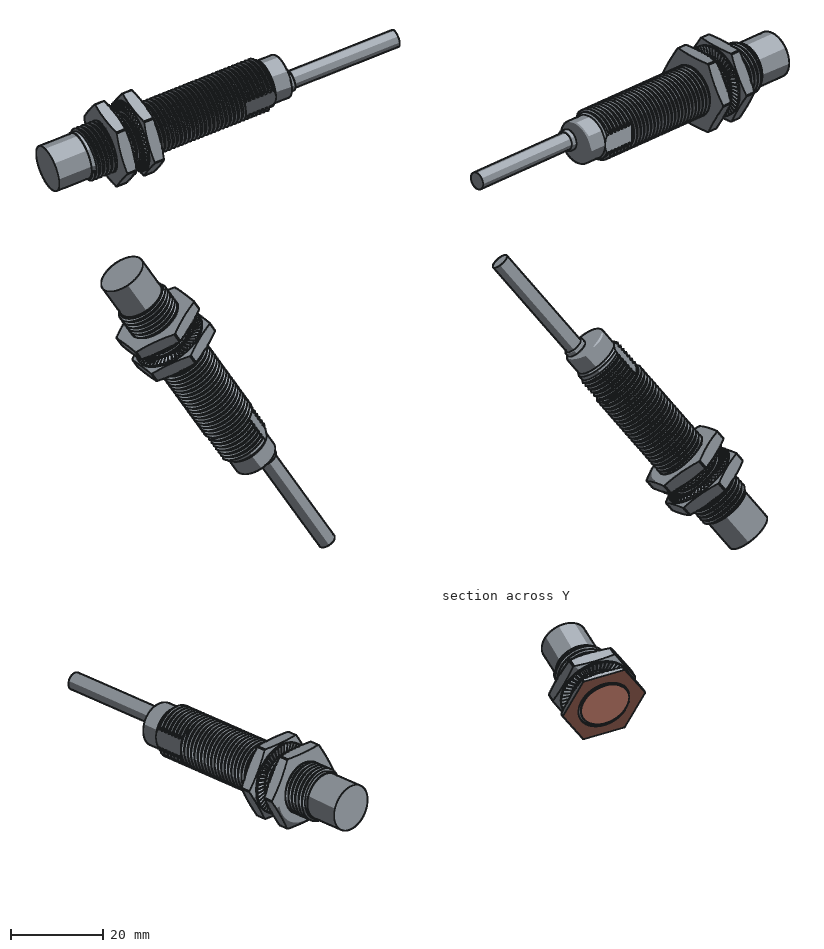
import cadquery as cq
import math

LENGTH = 85.0

TIP_DIAMETER = 10.5
TIP_LENGTH = 8.0

THREAD_TURNS = 44
THREAD_MAJOR_DIAMETER = 12.0
THREAD_MINOR_DIAMETER = 10.9
THREAD_CREST_WIDTH = 0.1
THREAD_FOOT_WIDTH = 0.8
THREAD_END_MARGIN = 0.4
THREAD_SINK = 0.2
BARREL_END = 53.8
BARREL_CHAMFER_LENGTH = 0.5

FLAT_LENGTH = 7.8

CAP_DIAMETER = 10.0
CAP_END = 58.0
CAP_FILLET = 0.5
SLEEVE_DIAMETER = 4.85
SLEEVE_END = 59.0
SLEEVE_FILLET = 0.2
CABLE_DIAMETER = 4.0
CABLE_OFFSET = 2.0

NUT_ACROSS_FLATS = 17.0
NUT_CORNER_DIAMETER = 19.5
NUT_FACE_DIAMETER = 16.1
NUT_THICKNESS = 3.9
NUT_CHAMFER_HEIGHT = 0.4
COLLAR_DIAMETER = 16.3
COLLAR_HEIGHT = 0.8
TOOTH_COUNT = 50
TOOTH_DEPTH = 0.5
FRONT_NUT_START = 13.9
NUT_GAP = 2.1


def rod(diameter, start, end, x=0.0):
    """A cylinder along Y from y = start to y = end, with its axis at the given x."""
    return (
        cq.Workplane("XZ", origin=(x, start, 0))
        .circle(diameter / 2)
        .extrude(start - end)
    )


def make_barrel_core():
    """The thread's core, tapered at the rear down to the end cap."""
    core_radius = THREAD_MINOR_DIAMETER / 2
    return (
        cq.Workplane("XY")
        .moveTo(0, TIP_LENGTH)
        .lineTo(core_radius, TIP_LENGTH)
        .lineTo(core_radius, BARREL_END - BARREL_CHAMFER_LENGTH)
        .lineTo(CAP_DIAMETER / 2, BARREL_END)
        .lineTo(0, BARREL_END)
        .close()
        .revolve(360, (0, 0, 0), (0, 1, 0))
    )


def make_thread():
    """The helical ridge, swept along Z and then laid along Y. Its foot is sunk into the core."""
    start = TIP_LENGTH + THREAD_END_MARGIN
    height = BARREL_END - BARREL_CHAMFER_LENGTH - THREAD_END_MARGIN - start
    foot_radius = THREAD_MINOR_DIAMETER / 2 - THREAD_SINK
    crest_radius = THREAD_MAJOR_DIAMETER / 2
    helix = cq.Wire.makeHelix(height / THREAD_TURNS, height, foot_radius)
    ridge = (
        cq.Workplane("XZ")
        .moveTo(foot_radius, -THREAD_FOOT_WIDTH / 2)
        .lineTo(crest_radius, -THREAD_CREST_WIDTH / 2)
        .lineTo(crest_radius, THREAD_CREST_WIDTH / 2)
        .lineTo(foot_radius, THREAD_FOOT_WIDTH / 2)
        .close()
        .sweep(cq.Workplane(obj=helix), isFrenet=True)
    )
    return ridge.rotate((0, 0, 0), (1, 0, 0), -90).translate((0, start, 0))


def make_flat_cutter(side):
    """The material outside one wrench flat: side is -1 for -X and 1 for +X."""
    clear_width = 2 * THREAD_MAJOR_DIAMETER
    centre_x = side * (CAP_DIAMETER + clear_width) / 2
    return (
        cq.Workplane("XY", origin=(centre_x, BARREL_END - FLAT_LENGTH / 2, 0))
        .box(clear_width, FLAT_LENGTH, clear_width)
    )


def make_threaded_barrel():
    """The barrel with its flats. They are cut in the core before the thread is added, then in the thread."""
    flat_cutters = [make_flat_cutter(side) for side in (-1, 1)]
    barrel = make_barrel_core()
    for cutter in flat_cutters:
        barrel = barrel.cut(cutter)
    barrel = barrel.union(make_thread(), clean=False)
    for cutter in flat_cutters:
        barrel = barrel.cut(cutter)
    return barrel


def make_sensor():
    """Tip, threaded barrel, end cap, sleeve and cable as one body."""
    cap = rod(CAP_DIAMETER, BARREL_END, CAP_END).faces(">Y").edges().fillet(CAP_FILLET)
    sleeve = rod(SLEEVE_DIAMETER, CAP_END, SLEEVE_END, CABLE_OFFSET)
    rounded_sleeve = sleeve.faces(">Y").edges().fillet(SLEEVE_FILLET)
    cable = rod(CABLE_DIAMETER, SLEEVE_END, LENGTH, CABLE_OFFSET)
    tip = rod(TIP_DIAMETER, 0, TIP_LENGTH)
    rear = cap.union(rounded_sleeve).union(cable)
    return make_threaded_barrel().union(tip, clean=False).union(rear, clean=False)


def make_tooth_gaps():
    """V-shaped radial grooves in the collar's end face at y = NUT_THICKNESS."""
    half_width = math.pi * COLLAR_DIAMETER / TOOTH_COUNT / 2
    groove = (
        cq.Workplane("YZ")
        .moveTo(NUT_THICKNESS - TOOTH_DEPTH, 0)
        .lineTo(NUT_THICKNESS, half_width)
        .lineTo(NUT_THICKNESS, -half_width)
        .close()
        .extrude(COLLAR_DIAMETER)
    )
    return [
        groove.rotate((0, 0, 0), (0, 1, 0), 360 * tooth / TOOTH_COUNT)
        for tooth in range(TOOTH_COUNT)
    ]


def make_nut():
    """A nut with its plain face at y = 0 and its toothed collar toward +Y."""
    hex_height = NUT_THICKNESS - COLLAR_HEIGHT
    corner_radius = NUT_CORNER_DIAMETER / 2
    face_radius = NUT_FACE_DIAMETER / 2
    hexagon = (
        cq.Workplane("XZ")
        .polygon(6, NUT_ACROSS_FLATS, circumscribed=True)
        .extrude(-hex_height)
        .rotate((0, 0, 0), (0, 1, 0), 30)
    )
    chamfered_round = (
        cq.Workplane("XY")
        .lineTo(face_radius, 0)
        .lineTo(corner_radius, NUT_CHAMFER_HEIGHT)
        .lineTo(corner_radius, hex_height - NUT_CHAMFER_HEIGHT)
        .lineTo(face_radius, hex_height)
        .lineTo(0, hex_height)
        .close()
        .revolve(360, (0, 0, 0), (0, 1, 0))
    )
    collar = rod(COLLAR_DIAMETER, hex_height, NUT_THICKNESS)
    for gap in make_tooth_gaps():
        collar = collar.cut(gap)
    bore = rod(THREAD_MAJOR_DIAMETER, 0, NUT_THICKNESS)
    return hexagon.intersect(chamfered_round).union(collar).cut(bore)


def make_nuts():
    """Two nuts, the second turned half round so that the toothed collars face each other."""
    gap_centre = FRONT_NUT_START + NUT_THICKNESS + NUT_GAP / 2
    nut = make_nut().translate((0, FRONT_NUT_START, 0))
    return [nut.rotate((0, gap_centre, 0), (0, gap_centre, 1), turn) for turn in (0, 180)]


sensor = make_sensor()
nuts = make_nuts()

result = cq.Compound.makeCompound([*sensor.solids().vals(), *[nut.val() for nut in nuts]])